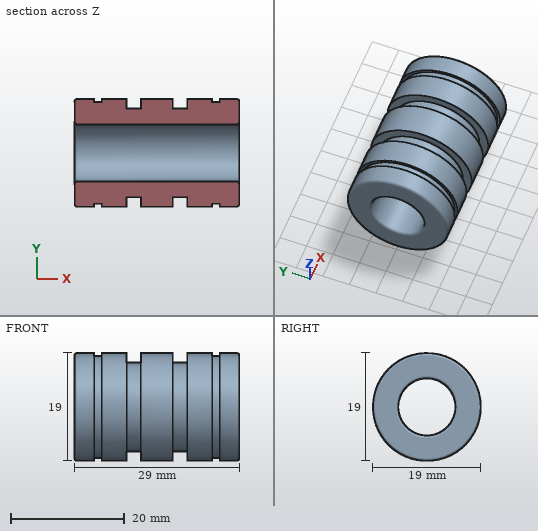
import cadquery as cq

length = 29.0
outer_diameter = 19.0
bore_diameter = 10.0
edge_radius = 0.5

ring_groove_diameter = 18.0
ring_groove_width = 1.3
ring_groove_span = 22.05
ring_groove_offset = (ring_groove_span - ring_groove_width) / 2

wide_groove_diameter = 15.7
wide_groove_width = 2.5
central_land_width = 5.6
wide_groove_offset = (central_land_width + wide_groove_width) / 2


def tube(diameter, inner_diameter, width, x_center):
    """Hollow cylinder along X, centred at x_center."""
    return (
        cq.Workplane("YZ", origin=(x_center - width / 2, 0, 0))
        .circle(diameter / 2)
        .circle(inner_diameter / 2)
        .extrude(width)
    )


def sleeve():
    """Plain bored sleeve with rounded outer and bore edges at both ends."""
    body = tube(outer_diameter, bore_diameter, length, 0)
    return body.faces("<X or >X").edges().fillet(edge_radius)


def cut_groove_pair(body, floor_diameter, width, offset):
    """Cut matching ring grooves at -offset and +offset along the axis."""
    for side in (-1, 1):
        body = body.cut(tube(outer_diameter * 2, floor_diameter, width, side * offset))
    return body


result = sleeve()
result = cut_groove_pair(result, ring_groove_diameter, ring_groove_width, ring_groove_offset)
result = cut_groove_pair(result, wide_groove_diameter, wide_groove_width, wide_groove_offset)